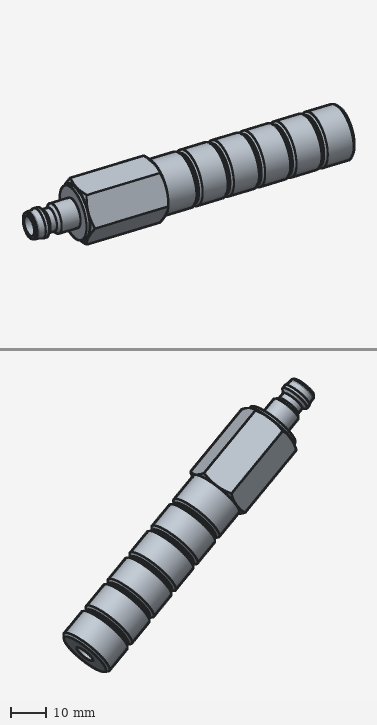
import cadquery as cq
import math

total_length = 100.0

bore_radius = 3.0
stem_radius = 4.5
stem_neck_radius = 3.5
stem_neck_start = 4.0
stem_neck_end = 8.0
seal_taper_start = 1.0
seal_taper_end = 2.9
tip_radius = 4.1
tip_chamfer_width = 0.25
tip_chamfer_length = 0.45

hex_start = 15.0
hex_length = 25.0
hex_end = hex_start + hex_length
hex_across_flats = 17.0
hex_corner_radius = hex_across_flats / math.sqrt(3)
hex_bevel_angle = 30.0
hex_face_radius = hex_across_flats / 2
collar_radius = 8.1
collar_length = 1.0
collar_start = hex_start - collar_length

sleeve_radius = 8.325
sleeve_chamfer = 0.75
groove_count = 5
groove_pitch = 10.0
groove_width = 2.0
groove_depth = 0.75


def revolve_about_y(outline):
    """Turn an (x, y) half outline a full revolution about the Y axis."""
    return cq.Workplane("XY").polyline(outline).close().revolve(360, (0, 0, 0), (0, 1, 0))


def make_connector():
    """Collar and plug stem with a chamfered neck and a hollow-curved taper to the tip."""
    neck_chamfer = stem_radius - stem_neck_radius
    taper_drop = stem_radius - tip_radius
    taper_length = seal_taper_end - seal_taper_start
    taper_arc_radius = (taper_length**2 + taper_drop**2) / (2 * taper_drop)
    half_arc_angle = math.asin(taper_length / taper_arc_radius) / 2
    taper_middle = (
        tip_radius + taper_arc_radius * (1 - math.cos(half_arc_angle)),
        seal_taper_start + taper_arc_radius * math.sin(half_arc_angle),
    )
    half_outline = (
        cq.Workplane("XY")
        .lineTo(tip_radius - tip_chamfer_width, 0)
        .lineTo(tip_radius, tip_chamfer_length)
        .lineTo(tip_radius, seal_taper_start)
        .threePointArc(taper_middle, (stem_radius, seal_taper_end))
        .lineTo(stem_radius, stem_neck_start)
        .lineTo(stem_neck_radius, stem_neck_start + neck_chamfer)
        .lineTo(stem_neck_radius, stem_neck_end - neck_chamfer)
        .lineTo(stem_radius, stem_neck_end)
        .lineTo(stem_radius, collar_start)
        .lineTo(collar_radius, collar_start)
        .lineTo(collar_radius, hex_start)
        .lineTo(0, hex_start)
        .close()
    )
    return half_outline.revolve(360, (0, 0, 0), (0, 1, 0))


def make_hexagon():
    """Hexagonal prism with flats at +Z and -Z, its corners bevelled at both ends."""
    prism = (
        cq.Workplane("XZ", origin=(0, hex_end, 0))
        .polygon(6, 2 * hex_corner_radius)
        .extrude(hex_length)
    )
    slope = math.tan(math.radians(hex_bevel_angle))
    bevel_length = (hex_corner_radius - hex_face_radius) * slope
    bevel_envelope = revolve_about_y([
        (0, hex_start),
        (hex_face_radius, hex_start),
        (hex_corner_radius, hex_start + bevel_length),
        (hex_corner_radius, hex_end - bevel_length),
        (hex_face_radius, hex_end),
        (0, hex_end),
    ])
    return prism.intersect(bevel_envelope)


def cut_groove(body, center):
    """Cut one ring groove with 45 degree walls and a narrow flat floor."""
    half_width = groove_width / 2
    floor_half_width = half_width - groove_depth
    floor_radius = sleeve_radius - groove_depth
    outer_radius = sleeve_radius + half_width
    outer_half_width = 2 * half_width
    return body.cut(revolve_about_y([
        (floor_radius, center - floor_half_width),
        (outer_radius, center - outer_half_width),
        (outer_radius, center + outer_half_width),
        (floor_radius, center + floor_half_width),
    ]))


def make_sleeve():
    """Round sleeve with a chamfered end and evenly spaced ring grooves."""
    sleeve = revolve_about_y([
        (0, hex_end),
        (sleeve_radius, hex_end),
        (sleeve_radius, total_length - sleeve_chamfer),
        (sleeve_radius - sleeve_chamfer, total_length),
        (0, total_length),
    ])
    for index in range(1, groove_count + 1):
        sleeve = cut_groove(sleeve, total_length - index * groove_pitch)
    return sleeve


def make_bore():
    """Straight bore through the whole length."""
    return cq.Workplane("XZ").circle(bore_radius).extrude(-total_length)


result = make_connector().union(make_hexagon()).union(make_sleeve()).cut(make_bore())